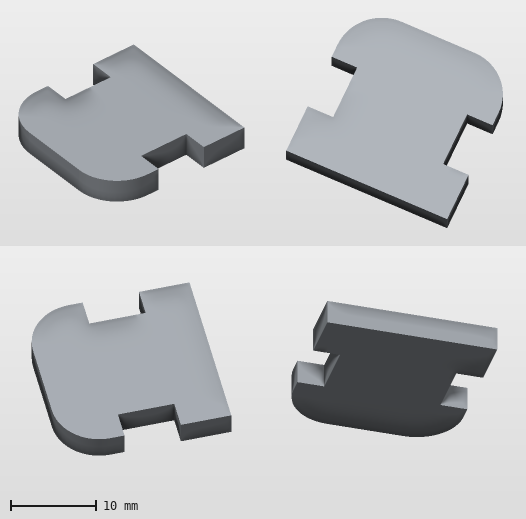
import cadquery as cq

width = 20.78
depth = 20.32
thickness = 3.05

corner_radius = 5.7

notch_depth = 3.28
notch_length = 6.82
rear_bar_length = 6.1
notch_center_y = depth / 2 - rear_bar_length - notch_length / 2


def make_plate():
    """Flat plate with its two front vertical edges rounded."""
    plate = cq.Workplane("XY").box(width, depth, thickness)
    return plate.faces("<Y").edges("|Z").fillet(corner_radius)


def make_notch(side):
    """Cutter centred on a side face, so half of it lies inside the plate."""
    cutter = cq.Workplane("XY").box(2 * notch_depth, notch_length, thickness)
    return cutter.translate((side * width / 2, notch_center_y, 0))


result = make_plate()
for side in (-1, 1):
    result = result.cut(make_notch(side))